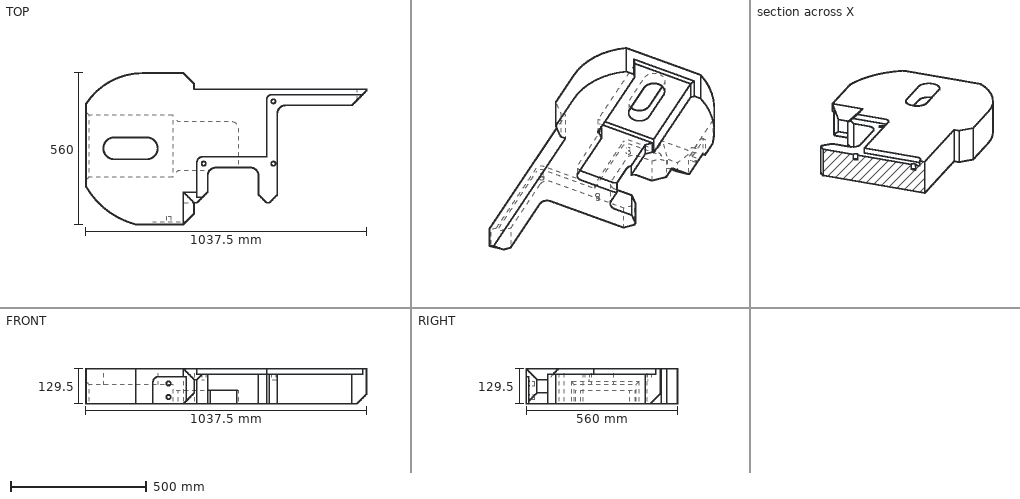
import cadquery as cq
import math

height = 129.5
body_half_width = 280.0
tip_x = 1037.5

body_right = 400.0
body_chamfer = 40.0
rear_arc_start_y = 166.0
rear_arc_radius = 250.0
front_arc_start_y = -140.0
front_arc_end_x = 183.0
front_arc_radius = 300.0

arm_rear = 220.0
arm_front = 160.0
fork_tip_y = -200.0
prong_flat = 10.0
left_prong_right = body_right + prong_flat + body_chamfer
right_prong_left = 637.5
right_prong_taper = 30.0
right_prong_right = right_prong_left + 2 * right_prong_taper + prong_flat
notch_top = -70.0
inner_radius = 30.0
tip_flat = 5.0
tip_bottom_chamfer = 36.0

ledge_depth = 20.0
ledge_width = 40.0
ledge_radius = 20.0
ledge_left = left_prong_right - ledge_width
ledge_right = right_prong_right - ledge_width
ledge_rear = arm_front + ledge_width
ledge_middle = notch_top + ledge_width

hole_diameter = 16.0
hole_depth = 20.0
hole_inset = 25.0

slot_start = 64.5
slot_length = 200.0
slot_width = 80.0
slot_center_y = 1.5

tunnel_center_y = 11.0
outer_width = 230.0
outer_height = 72.5
outer_end = 320.0
mouth_chamfer = 10.0
inner_width = 180.0
inner_height = 50.0
inner_end = 562.5
inner_mouth_taper = 20.0
inner_end_radius = 25.0

recess_left = 247.5
recess_height = 100.0
recess_depth = 10.0
recess_radius = 20.0
recess_hole_x = 305.0
recess_hole_heights = (25.0, 75.0)


def prism(points, depth, base=0.0):
    """Extrude a polygon in plan upward from the given base height."""
    return cq.Workplane("XY").workplane(offset=base).polyline(points).close().extrude(depth)


def make_body():
    rear_rise = body_half_width - rear_arc_start_y
    rear_arc_end_x = math.sqrt(rear_rise * (2 * rear_arc_radius - rear_rise))
    chamfer_start = body_right - body_chamfer
    chamfer_y = body_half_width - body_chamfer
    return (
        cq.Workplane("XY")
        .moveTo(0, rear_arc_start_y)
        .radiusArc((rear_arc_end_x, body_half_width), rear_arc_radius)
        .lineTo(chamfer_start, body_half_width)
        .lineTo(body_right, chamfer_y)
        .lineTo(body_right, -chamfer_y)
        .lineTo(chamfer_start, -body_half_width)
        .lineTo(front_arc_end_x, -body_half_width)
        .radiusArc((0, front_arc_start_y), front_arc_radius)
        .close()
        .extrude(height)
    )


def bevel_body_edges(body):
    """Chamfer the top and bottom edges of the right face as far as the fork's own bevel."""
    start = body_right - body_chamfer
    bevel_rear = fork_tip_y + body_chamfer
    for edge_z, inner_z in ((0, body_chamfer), (height, height - body_chamfer)):
        wedge = (
            cq.Workplane("XZ", origin=(0, bevel_rear, 0))
            .polyline([(start, edge_z), (body_right, edge_z), (body_right, inner_z)])
            .close()
            .extrude(body_half_width + bevel_rear)
        )
        body = body.cut(wedge)
    return body


def make_fork():
    """Arm and two prongs, overlapping the body on the left."""
    start = body_right - body_chamfer
    left_taper_y = fork_tip_y + body_chamfer
    right_taper_y = fork_tip_y + right_prong_taper
    fork = prism(
        [
            (start, arm_rear),
            (tip_x, arm_rear),
            (tip_x, arm_rear - tip_flat),
            (tip_x - (arm_rear - tip_flat - arm_front), arm_front),
            (right_prong_right, arm_front),
            (right_prong_right, right_taper_y),
            (right_prong_right - right_prong_taper, fork_tip_y),
            (right_prong_left + right_prong_taper, fork_tip_y),
            (right_prong_left, right_taper_y),
            (right_prong_left, notch_top),
            (left_prong_right, notch_top),
            (left_prong_right, left_taper_y),
            (left_prong_right - body_chamfer, fork_tip_y),
            (start, fork_tip_y),
        ],
        height,
    )
    inner_corners = [
        (right_prong_right, arm_front),
        (right_prong_left, notch_top),
        (left_prong_right, notch_top),
    ]
    for corner_x, corner_y in inner_corners:
        corner = cq.NearestToPointSelector((corner_x, corner_y, height / 2))
        fork = fork.edges("|Z").edges(corner).fillet(inner_radius)

    top_bevel = (
        cq.Workplane("YZ", origin=(start, 0, 0))
        .polyline([(left_taper_y, height), (fork_tip_y, height), (fork_tip_y, height - body_chamfer)])
        .close()
        .extrude(left_prong_right - start)
    )
    tip_bevel = (
        cq.Workplane("XZ", origin=(0, arm_rear, 0))
        .polyline([(tip_x - tip_bottom_chamfer, 0), (tip_x, 0), (tip_x, tip_bottom_chamfer)])
        .close()
        .extrude(arm_rear - arm_front)
    )
    return fork.cut(top_bevel).cut(tip_bevel)


def ledge_cut():
    """Band removed from the top, bounded by the stepped wall of the ledge."""
    cut = prism(
        [
            (ledge_left, fork_tip_y),
            (ledge_left, ledge_middle),
            (ledge_right, ledge_middle),
            (ledge_right, ledge_rear),
            (tip_x, ledge_rear),
            (tip_x, fork_tip_y),
        ],
        ledge_depth,
        height - ledge_depth,
    )
    for corner_x, corner_y in ((ledge_left, ledge_middle), (ledge_right, ledge_rear)):
        corner = cq.NearestToPointSelector((corner_x, corner_y, height - ledge_depth / 2))
        cut = cut.edges("|Z").edges(corner).fillet(ledge_radius)
    return cut


def ledge_holes():
    low_y = ledge_middle - hole_inset
    right_x = ledge_right + hole_inset
    centers = [
        (ledge_left + hole_inset, low_y),
        (right_x, low_y),
        (right_x, ledge_rear - hole_inset),
    ]
    return (
        cq.Workplane("XY")
        .workplane(offset=height - ledge_depth - hole_depth)
        .pushPoints(centers)
        .circle(hole_diameter / 2)
        .extrude(hole_depth)
    )


def slot_cut():
    return (
        cq.Workplane("XY")
        .center(slot_start + slot_length / 2, slot_center_y)
        .slot2D(slot_length, slot_width)
        .extrude(height)
    )


def tunnel_cut():
    """Wide outer tunnel with a flared mouth, leading to a low inner pocket."""
    outer = (
        cq.Workplane("YZ", origin=(0, tunnel_center_y, outer_height / 2))
        .rect(outer_width, outer_height)
        .extrude(outer_end)
    )
    half_outer = outer_width / 2
    flare_outline = [
        (0, tunnel_center_y - half_outer - mouth_chamfer),
        (mouth_chamfer, tunnel_center_y - half_outer),
        (mouth_chamfer, tunnel_center_y + half_outer),
        (0, tunnel_center_y + half_outer + mouth_chamfer),
    ]
    mouth_top = outer_height + mouth_chamfer
    flare_plan = prism(flare_outline, mouth_top)
    flare_profile = (
        cq.Workplane("XZ", origin=(0, body_half_width, 0))
        .polyline([(0, 0), (mouth_chamfer, 0), (mouth_chamfer, outer_height), (0, mouth_top)])
        .close()
        .extrude(2 * body_half_width)
    )
    flare = flare_plan.intersect(flare_profile)

    half_inner = inner_width / 2
    half_mouth = half_inner + inner_mouth_taper
    taper_end = outer_end + inner_mouth_taper
    inner = prism(
        [
            (outer_end, tunnel_center_y - half_mouth),
            (taper_end, tunnel_center_y - half_inner),
            (inner_end, tunnel_center_y - half_inner),
            (inner_end, tunnel_center_y + half_inner),
            (taper_end, tunnel_center_y + half_inner),
            (outer_end, tunnel_center_y + half_mouth),
        ],
        inner_height,
    )
    inner = inner.edges("|Z and >X").fillet(inner_end_radius)
    return outer.union(flare).union(inner)


def recess_cut():
    """Shallow panel in the front side, open at the bottom and on the right."""
    front = cq.Workplane("XZ", origin=(0, -body_half_width + recess_depth, 0))
    panel = (
        front.moveTo(recess_left, 0)
        .lineTo(recess_left, recess_height - recess_radius)
        .radiusArc((recess_left + recess_radius, recess_height), recess_radius)
        .lineTo(body_right, recess_height)
        .lineTo(body_right, 0)
        .close()
        .extrude(recess_depth)
    )
    holes = (
        front.pushPoints([(recess_hole_x, z) for z in recess_hole_heights])
        .circle(hole_diameter / 2)
        .extrude(-hole_depth)
    )
    return panel.union(holes)


result = bevel_body_edges(make_body()).union(make_fork())
for cutter in (ledge_cut(), ledge_holes(), slot_cut(), tunnel_cut(), recess_cut()):
    result = result.cut(cutter)